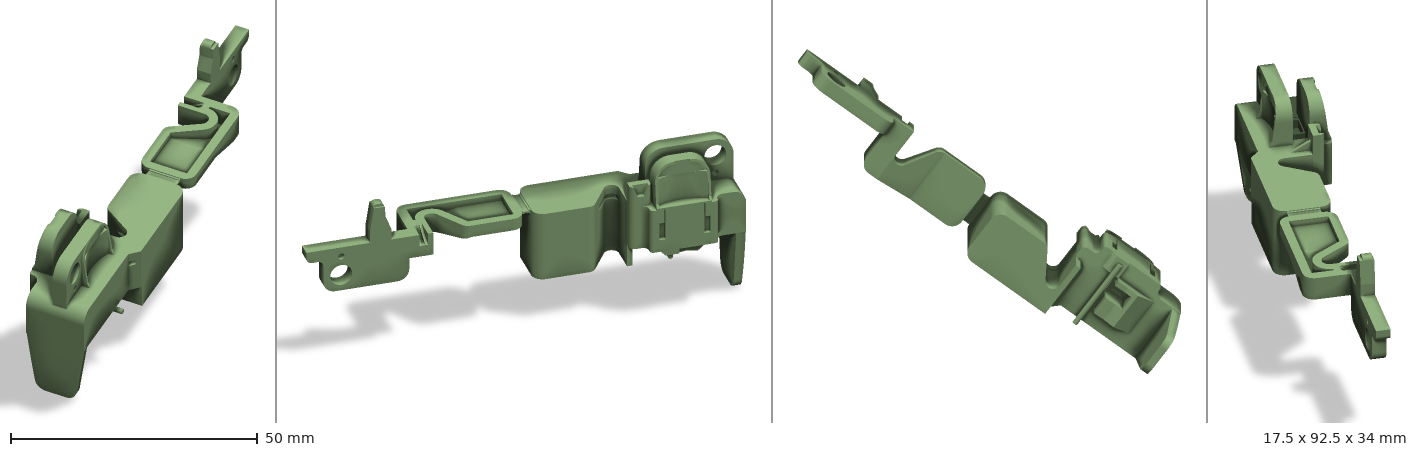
import cadquery as cq
import math


part_length = 92.5
body_width = 17.5
hinge_y = 45.0
hinge_gap = 2.0
box_left = 5.5
corner_radius = 2.4
box_depth = 15.4
pick_margin = 0.1

notch_radius = 1.6
notch_x = 11.0
notch_edge_y = 24.3
notch_slope = math.radians(33)
notch_corner_radius = 1.85

deck_left = 2.5
deck_right = 15.5
deck_depth = 9.8
deck_back_y = 24.3
box_front_y = 23.1
flank_chamfer = 1.9
flank_end_gap = 0.6
bulge_front_y = 6.6
bulge_back_y = 21.0
bulge_radius = 0.7
bulge_root_radius = 1.7
bulge_back_root_radius = 1.1
nose_radius = 2.8

tongue_thickness = 2.0
tongue_inset = 0.2
tongue_bottom_z = -24.2
tongue_tip_left = 4.7
tongue_tip_right = 13.3
tongue_tip_radius = 2.4
tongue_bend_z = -13.1
tongue_tip_sweep = 0.4

grip_front_y = 8.0
grip_back_y = 19.7
grip_top_z = 9.8
grip_radius = 4.0
grip_left_inner_x = 4.5
grip_left_top_x = 1.7
grip_waist_inset = 0.6
grip_waist_z = 1.1
ear_left_x = 8.05
ear_right_x = 11.2
ear_foot_x = 12.95
ear_front_y = 0.9
ear_top_z = 9.6
ear_radius = 3.9
grip_foot_height = 0.4
scoop_radius = 13.4
scoop_depth = 2.2
scoop_rim = 0.6
rim_gap_width = 3.3
upper_scoop_z = 6.7
upper_scoop_depth = 1.9
pivot_radius = 2.3
pivot_y = 4.8
pivot_z = 5.9
locating_radius = 0.69
locating_z = 1.8

post_right = 5.0
post_front_y = 20.0
post_back_y = 24.5
post_height = 4.6
post_radius = 1.1
dimple_depth = 1.1
dimple_top_inset = 0.65
dimple_foot_inset = 1.6
gusset_height = 2.2
gusset_tip_x = 9.1
gusset_y = 22.3
gusset_thickness = 0.7

groove_top_z = -2.0
groove_bottom_z = -3.2
groove_back_y = 29.1
groove_left_x = 8.7
groove_right_x = 13.1
flank_recess_right = 16.65

window_left = 4.8
window_front_y = 10.7
window_back_y = 15.4
relief_front_y = 9.6
relief_back_y = 9.9
pocket_front_y = 16.0
pocket_back_y = 17.9
pocket_depth = 1.4
block_left = 3.7
block_right = 12.0
block_back_z = -13.0
block_hollow_y = 12.4
block_hollow_z = -12.8
block_nose_y = 9.9
block_nose_z = -13.2
block_front_y = 5.8

lid_thickness = 2.7
lid_arm_depth = 5.1
lid_slope_y = 57.35
lid_back_y = 70.1
lid_wall = 1.85
lid_back_wall = 2.1
lid_floor = 1.2
tail_left = 5.0
tail_right = 8.05
tail_front_y = 70.7
tail_step_y = 88.9
tail_depth = 10.1
tail_radius = 2.5
tail_tab_depth = 2.6
tail_tab_radius = 1.2
tail_pivot_z = -6.5
tail_locating_z = -2.1
prong_front_y = 74.5
prong_back_y = 79.0
prong_top_z = 8.6
prong_front_bend_z = 2.5
prong_back_bend_z = 2.8
prong_neck_y = 75.7
prong_neck_z = 5.55
prong_tip_front_y = 75.9
prong_tip_back_y = 78.1
prong_tip_radius = 0.8
prong_shoulder_z = 8.0
prong_tip_left = 5.4
prong_tip_right = 7.4
slot_tip_x = 9.6
slot_depth = 2.6
slot_width = 1.85
slit_floor_x = 7.3
slit_width = 0.7
hinge_left = 8.1
hinge_right = 15.1
hinge_top_z = -0.2
hinge_bottom_z = -0.8
crease_width = 1.2
crease_depth = 0.2

catch_front_y = 9.6
catch_back_y = 17.85
catch_depth = 7.0
catch_thickness = 3.7
leg_front_y = 14.9
leg_foot_back_y = 18.9
leg_bottom_z = -10.9
seam_gap = 0.3
ear_slot_width = 1.3
ear_slot_top_z = -3.1
ear_slot_depth = 0.9
core_front_y = 10.9
core_back_y = 14.7
core_top_z = -1.85
core_slot_left = 7.0
core_slot_right = 7.5
core_slot_front_y = 11.3
core_slot_back_y = 14.0
rod_y = 16.5
rod_z = -11.9
rod_radius = 0.6
rod_left = 1.0
rod_right = 16.4
hanger_left = 3.0
hanger_thickness = 0.7


def block(x0, x1, y0, y1, z0, z1):
    """Box between two opposite corners."""
    return cq.Workplane("XY").box(x1 - x0, y1 - y0, z1 - z0, centered=False).translate((x0, y0, z0))


def side_plate(points, x0, x1):
    """Prism along X from a closed (y, z) outline."""
    return cq.Workplane("YZ").workplane(offset=x0).polyline(points).close().extrude(x1 - x0)


def front_plate(points, y0, y1):
    """Prism along Y from a closed (x, z) outline."""
    return cq.Workplane("XZ").workplane(offset=-y1).polyline(points).close().extrude(y1 - y0)


def cross_bore(y, z, radius, x0, x1):
    """Cylinder along X."""
    return cq.Workplane("YZ").workplane(offset=x0).center(y, z).circle(radius).extrude(x1 - x0)


def mirrored(y):
    """Place across the fold line."""
    return 2 * hinge_y - y


def notch_slope_start(radius):
    """Point where the round end of the notch runs into its sloping edge."""
    tangent_x = notch_x + radius * math.sin(notch_slope)
    tangent_y = notch_edge_y + notch_radius + radius * math.cos(notch_slope)
    return tangent_x, tangent_y


def notch_slope_end_y(radius):
    """Where the sloping notch edge reaches the left side."""
    tangent_x, tangent_y = notch_slope_start(radius)
    return tangent_y + (tangent_x - box_left) * math.tan(notch_slope)


def notch_cutter(z0, z1, grow=0.0):
    """Finger notch open to the left: flat front edge, round end and a sloping back edge."""
    radius = notch_radius + grow
    center_y = notch_edge_y + notch_radius
    return (
        cq.Workplane("XY")
        .workplane(offset=z0)
        .moveTo(box_left, center_y - radius)
        .lineTo(notch_x, center_y - radius)
        .threePointArc((notch_x + radius, center_y), notch_slope_start(radius))
        .lineTo(box_left, notch_slope_end_y(radius))
        .close()
        .extrude(z1 - z0)
    )


def edge_pick(x, y):
    """Selector for the upright deck edge at a place in plan."""
    return cq.selectors.BoxSelector(
        (x - pick_margin, y - pick_margin, -deck_depth), (x + pick_margin, y + pick_margin, 0)
    )


def round_slope_corner(body, y):
    """Round the corner where the sloping notch edge meets the left side."""
    pick = cq.selectors.BoxSelector(
        (box_left - pick_margin, y - pick_margin, -box_depth), (box_left + pick_margin, y + pick_margin, 0)
    )
    return body.edges("|Z").edges(pick).fillet(notch_corner_radius)


def make_box():
    back_y = hinge_y - hinge_gap / 2
    box = block(box_left, body_width, box_front_y, back_y, -box_depth, 0)
    box = box.edges("|Z and >Y").fillet(corner_radius)
    box = box.cut(notch_cutter(-box_depth, 0))
    box = round_slope_corner(box, notch_slope_end_y(notch_radius))
    groove = block(
        groove_left_x, groove_right_x, notch_edge_y, groove_back_y, groove_bottom_z, groove_top_z
    )
    return box.cut(groove)


def make_deck():
    deck = block(deck_left, deck_right, 0, deck_back_y, -deck_depth, 0)
    deck = deck.edges("|X and >Z and <Y").fillet(nose_radius)
    flank_front_y = box_front_y - flank_chamfer - flank_end_gap
    flank = (
        cq.Workplane("XY")
        .polyline(
            [
                (deck_left, flank_front_y),
                (deck_right, flank_front_y),
                (body_width, flank_front_y + flank_chamfer),
                (body_width, deck_back_y),
                (deck_left, deck_back_y),
            ]
        )
        .close()
        .extrude(-deck_depth)
    )
    bulge = block(0, deck_left, bulge_front_y, bulge_back_y, -deck_depth, 0)
    bulge = bulge.edges("|Z and <X").fillet(bulge_radius)
    deck = deck.union(flank).union(bulge)
    deck = deck.edges(edge_pick(deck_left, bulge_front_y)).fillet(bulge_root_radius)
    deck = deck.edges(edge_pick(deck_left, bulge_back_y)).fillet(bulge_back_root_radius)
    deck = deck.edges(edge_pick(deck_left, deck_back_y)).fillet(post_radius)
    recess = block(
        deck_right, flank_recess_right, flank_front_y, box_front_y, groove_bottom_z, groove_top_z
    )
    return deck.cut(recess)


def make_tongue():
    top_z = -deck_depth
    tongue = front_plate(
        [
            (deck_left + tongue_inset, top_z),
            (tongue_tip_left, tongue_bottom_z),
            (tongue_tip_right, tongue_bottom_z),
            (deck_right - tongue_inset, top_z),
        ],
        0,
        tongue_thickness,
    )
    tongue = tongue.edges("|Y and <Z").fillet(tongue_tip_radius)
    middle_z = (tongue_bend_z + tongue_bottom_z) / 2
    sweep = (
        cq.Workplane("YZ")
        .moveTo(0, tongue_bend_z)
        .threePointArc((tongue_tip_sweep / 4, middle_z), (tongue_tip_sweep, tongue_bottom_z))
        .lineTo(0, tongue_bottom_z)
        .close()
        .extrude(body_width)
    )
    return tongue.cut(sweep)


def arch(x0, x1, front_y, back_y, bottom_z, top_z, radius):
    """Upright slab with both upper corners rounded."""
    slab = block(x0, x1, front_y, back_y, bottom_z, top_z)
    return slab.edges("|X and >Z").fillet(radius)


def scoop(foot_x, outward, floor_z):
    """Concave finger scoop in an outer grip face, kept inside the rim; outward is -1 or +1."""
    middle_y = (grip_front_y + grip_back_y) / 2
    axis_x = foot_x + outward * (scoop_radius - scoop_depth)
    hollow = (
        cq.Workplane("XY")
        .workplane(offset=floor_z)
        .center(axis_x, middle_y)
        .circle(scoop_radius)
        .extrude(upper_scoop_z - floor_z)
    )
    upper_face_x = foot_x - outward * upper_scoop_depth
    upper = block(
        min(upper_face_x, axis_x),
        max(upper_face_x, axis_x),
        grip_front_y,
        grip_back_y,
        upper_scoop_z,
        grip_top_z,
    )
    limit = arch(
        axis_x - scoop_radius,
        axis_x + scoop_radius,
        grip_front_y + scoop_rim,
        grip_back_y - scoop_rim,
        floor_z,
        grip_top_z - scoop_rim,
        grip_radius - scoop_rim,
    )
    return hollow.union(upper).intersect(limit)


def make_pivot_ear():
    ear = block(ear_left_x, ear_right_x, ear_front_y, grip_back_y, -nose_radius, ear_top_z)
    ear = ear.edges("|X and >Z").fillet(ear_radius)
    flare = front_plate(
        [
            (ear_right_x, 0),
            (ear_foot_x, 0),
            (ear_foot_x - grip_waist_inset, grip_waist_z),
            (ear_right_x, ear_top_z),
        ],
        grip_front_y,
        grip_back_y,
    )
    outline = arch(ear_left_x, ear_foot_x, grip_front_y, grip_back_y, 0, ear_top_z, grip_radius)
    ear = ear.union(flare.intersect(outline)).cut(scoop(ear_foot_x, 1, 0))
    ear = ear.cut(cross_bore(pivot_y, pivot_z, pivot_radius, ear_left_x, ear_right_x))
    return ear.cut(cross_bore(pivot_y, locating_z, locating_radius, ear_left_x, ear_right_x))


def make_snap_post():
    post = block(deck_left, post_right, post_front_y, post_back_y, -deck_depth, post_height)
    post = post.edges("|Z and <X").fillet(post_radius)
    dimple = side_plate(
        [
            (post_front_y + dimple_top_inset, post_height),
            (post_back_y - dimple_top_inset, post_height),
            (post_back_y - dimple_foot_inset, post_height / 2),
            (post_front_y + dimple_foot_inset, post_height / 2),
        ],
        deck_left,
        deck_left + dimple_depth,
    )
    gusset = front_plate(
        [(post_right, 0), (gusset_tip_x, 0), (post_right, gusset_height)],
        gusset_y - gusset_thickness / 2,
        gusset_y + gusset_thickness / 2,
    )
    return post.cut(dimple).union(gusset)


def make_underside_block():
    return side_plate(
        [
            (leg_front_y, -deck_depth),
            (leg_front_y, block_back_z),
            (block_hollow_y, block_hollow_z),
            (block_nose_y, block_nose_z),
            (block_front_y, -deck_depth),
        ],
        block_left,
        block_right,
    )


def make_lid():
    front_y = hinge_y + hinge_gap / 2
    arm_front_y = mirrored(notch_edge_y)
    profile = side_plate(
        [
            (front_y, 0),
            (lid_back_y, 0),
            (lid_back_y, -lid_arm_depth),
            (arm_front_y, -lid_arm_depth),
            (lid_slope_y, -lid_thickness),
            (front_y, -lid_thickness),
        ],
        tail_left,
        body_width,
    )
    plan = block(box_left, body_width, front_y, lid_back_y, -lid_arm_depth, 0)
    plan = plan.edges("|Z and >X").fillet(corner_radius)
    plan = plan.edges("|Z and <X and <Y").fillet(corner_radius)
    fold_plane = (0, hinge_y, 0)
    plan = plan.cut(notch_cutter(-lid_arm_depth, 0).mirror("XZ", fold_plane))
    plan = round_slope_corner(plan, mirrored(notch_slope_end_y(notch_radius)))
    arm = block(tail_left, notch_x, arm_front_y, lid_back_y, -lid_arm_depth, 0)
    lid = plan.union(arm).intersect(profile)

    cavity_back_y = lid_back_y - lid_back_wall
    cavity = side_plate(
        [
            (front_y + lid_wall, 0),
            (cavity_back_y, 0),
            (cavity_back_y, lid_floor - lid_arm_depth),
            (arm_front_y, lid_floor - lid_arm_depth),
            (lid_slope_y, lid_floor - lid_thickness),
            (front_y + lid_wall, lid_floor - lid_thickness),
        ],
        box_left + lid_wall,
        body_width - lid_wall,
    )
    wall = notch_cutter(-lid_arm_depth, 0, grow=lid_wall).mirror("XZ", fold_plane)
    left_strip = block(box_left, notch_x, arm_front_y, lid_back_y, -lid_arm_depth, 0)
    return lid.cut(cavity.cut(wall).cut(left_strip))


def make_tail():
    tail = side_plate(
        [
            (tail_front_y, 0),
            (part_length, 0),
            (part_length, -tail_tab_depth),
            (tail_step_y, -tail_tab_depth),
            (tail_step_y, -tail_depth),
            (tail_front_y, -tail_depth),
        ],
        tail_left,
        tail_right,
    )
    tail = tail.edges("|X and <Z").fillet(tail_radius)
    tab_corners = cq.selectors.BoxSelector(
        (tail_left, tail_step_y - pick_margin, -tail_tab_depth - pick_margin),
        (tail_right, part_length + pick_margin, -tail_tab_depth + pick_margin),
    )
    tail = tail.edges("|X").edges(tab_corners).fillet(tail_tab_radius)
    root = block(tail_left, tail_right, mirrored(notch_edge_y), tail_front_y, -lid_arm_depth, 0)
    prong = side_plate(
        [
            (prong_front_y, 0),
            (prong_front_y, prong_front_bend_z),
            (prong_neck_y, prong_neck_z),
            (prong_tip_front_y, prong_top_z),
            (prong_tip_back_y, prong_top_z),
            (prong_back_y, prong_back_bend_z),
            (prong_back_y, 0),
        ],
        tail_left,
        tail_right,
    )
    prong = prong.edges("|X and >Z").fillet(prong_tip_radius)
    for x0, x1 in ((tail_left, prong_tip_left), (prong_tip_right, tail_right)):
        prong = prong.cut(block(x0, x1, prong_front_y, prong_back_y, prong_shoulder_z, prong_top_z))
    tail = tail.union(root).union(prong)
    tail = tail.cut(cross_bore(mirrored(pivot_y), tail_pivot_z, pivot_radius, tail_left, tail_right))
    return tail.cut(
        cross_bore(mirrored(pivot_y), tail_locating_z, locating_radius, tail_left, tail_right)
    )


def gusset_slot():
    """Ramped slot in the lid arm, with a steeper slit down its middle for the gusset."""
    middle_y = mirrored(gusset_y)
    ramp = front_plate(
        [(tail_left, 0), (slot_tip_x, 0), (tail_left, -slot_depth)],
        middle_y - slot_width / 2,
        middle_y + slot_width / 2,
    )
    slit = front_plate(
        [(tail_left, 0), (slot_tip_x, 0), (slit_floor_x, -slot_depth), (tail_left, -slot_depth)],
        middle_y - slit_width / 2,
        middle_y + slit_width / 2,
    )
    return ramp.union(slit)


def make_hinge():
    half = hinge_gap / 2
    film = block(
        hinge_left, hinge_right, hinge_y - half, hinge_y + half, hinge_bottom_z, hinge_top_z
    )
    crease = block(
        hinge_left,
        hinge_right,
        hinge_y - crease_width / 2,
        hinge_y + crease_width / 2,
        hinge_top_z - crease_depth,
        hinge_top_z,
    )
    relief = cross_bore(hinge_y, hinge_bottom_z, crease_depth, hinge_left, hinge_right)
    return film.cut(crease).cut(relief)


def make_openings():
    """Prong window through the deck and the shallow pocket behind it."""
    window = block(window_left, ear_left_x, window_front_y, window_back_y, -box_depth, 0)
    pocket = block(
        grip_left_inner_x, ear_left_x, pocket_front_y, pocket_back_y, -pocket_depth, 0
    )
    relief = block(grip_left_inner_x, ear_left_x, relief_front_y, relief_back_y, -pocket_depth, 0)
    return window.union(pocket).union(relief)


def make_catch_recess():
    """Seat for the catch, with seam gaps beside the panel and two slots at its ends."""
    seat = block(0, catch_thickness, catch_front_y, catch_back_y, -catch_depth, 0)
    for y in (catch_front_y - seam_gap, catch_back_y):
        seat = seat.union(block(0, ear_slot_depth, y, y + seam_gap, ear_slot_top_z, 0))
    for y in (catch_front_y - ear_slot_width, catch_back_y):
        slot = block(0, ear_slot_depth, y, y + ear_slot_width, -catch_depth, ear_slot_top_z)
        seat = seat.union(slot)
    leg_seat = block(0, catch_thickness, leg_front_y, catch_back_y, -deck_depth, -catch_depth)
    core_seat = block(
        catch_thickness, window_left, core_front_y, core_back_y, -catch_depth, core_top_z
    )
    return seat.union(leg_seat).union(core_seat)


def make_housing():
    housing = make_deck().union(make_box())
    for section in (make_tongue(), make_pivot_ear(), make_snap_post()):
        housing = housing.union(section)
    housing = housing.union(make_underside_block())
    housing = housing.union(make_lid()).union(make_tail()).union(make_hinge())
    return housing.cut(gusset_slot()).cut(make_openings()).cut(make_catch_recess())


def make_catch_grip():
    taper = front_plate(
        [
            (0, 0),
            (0, grip_foot_height),
            (grip_waist_inset, grip_waist_z),
            (grip_left_top_x, grip_top_z),
            (grip_left_inner_x, grip_top_z),
            (grip_left_inner_x, 0),
        ],
        grip_front_y,
        grip_back_y,
    )
    outline = arch(0, grip_left_inner_x, grip_front_y, grip_back_y, 0, grip_top_z, grip_radius)
    middle_y = (grip_front_y + grip_back_y) / 2
    rim_gap = block(
        0,
        upper_scoop_depth,
        middle_y - rim_gap_width / 2,
        middle_y + rim_gap_width / 2,
        grip_top_z - scoop_rim,
        grip_top_z,
    )
    return taper.intersect(outline).cut(scoop(0, -1, grip_foot_height)).cut(rim_gap)


def make_catch():
    """Grip and side panel with a leg, a slotted core reaching into the window, and a cross rod below."""
    panel = block(0, catch_thickness, catch_front_y, catch_back_y, -catch_depth, 0)
    leg = block(0, catch_thickness, leg_front_y, catch_back_y, -deck_depth, -catch_depth)
    core = block(catch_thickness, ear_left_x, core_front_y, core_back_y, -catch_depth, core_top_z)
    core_slot = block(
        core_slot_left, core_slot_right, core_slot_front_y, core_slot_back_y, -catch_depth, core_top_z
    )
    hanger = block(
        hanger_left,
        catch_thickness,
        rod_y - hanger_thickness / 2,
        rod_y + hanger_thickness / 2,
        rod_z,
        leg_bottom_z,
    )
    rod = cross_bore(rod_y, rod_z, rod_radius, rod_left, rod_right)
    foot = side_plate(
        [
            (leg_front_y, -deck_depth),
            (leg_foot_back_y, -deck_depth),
            (catch_back_y, leg_bottom_z),
            (leg_front_y, leg_bottom_z),
        ],
        0,
        catch_thickness,
    )
    catch = panel.union(make_catch_grip()).union(leg).union(foot).union(core)
    return catch.cut(core_slot).union(hanger).union(rod)


housing = make_housing()
catch = make_catch()
result = cq.Compound.makeCompound([housing.val(), catch.val()])